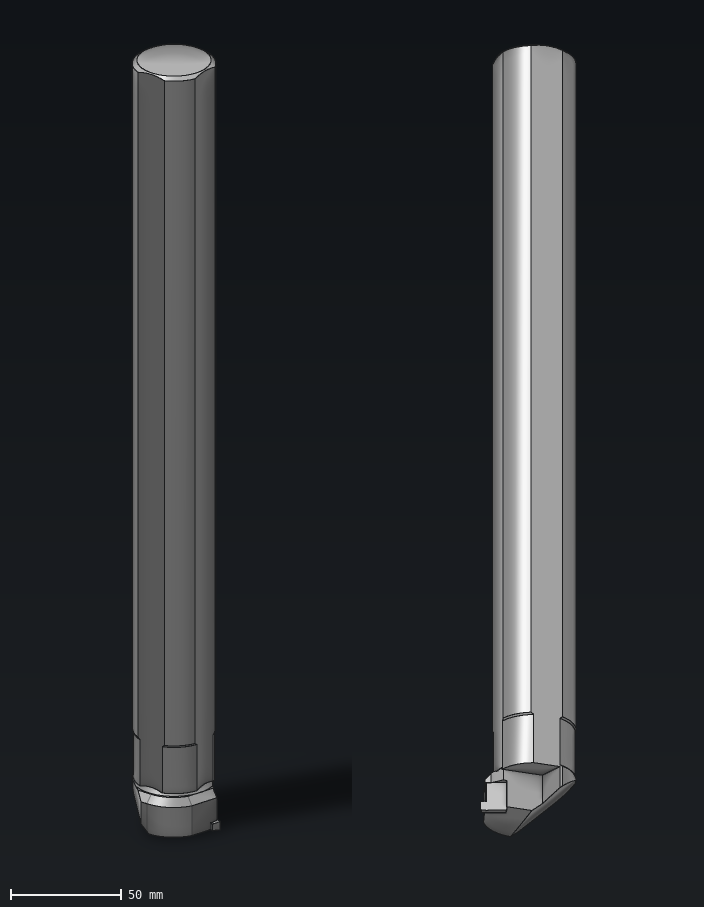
import cadquery as cq
import math

total_length = 381.0
shank_radius = 19.05
flat_distance = 17.5
top_chamfer_width = 2.2
top_chamfer_height = 1.5

neck_radius = 18.6
neck_top = 44.5
neck_step = 1.0

insert_drop = 0.8
head_bottom = insert_drop
head_top = 19.3
lobe_radius = 20.52
lobe_center = (2.0, -3.0)
lobe_corner_x = -1.3
lobe_bevel = 3.4
lobe_bevel_angle = 45.0
facet_start_x = 19.8
facet_end = (23.9, 0.5)
collar_radius = 19.5

underside_angle = 40.0
underside_end_x = 3.2

gullet_floor = 6.2
gullet_wall_top_x = -6.3
gullet_wall_foot_x = -1.8
gullet_floor_end_x = 17.0
nose_start = (21.3, 1.6)

insert_tilt = 20.0
insert_thickness = 4.0
insert_clearance = 7.0
insert_length = 14.0
insert_body_width = 9.4
tip_corner = (25.98, 0.3)
tip_reach = 2.6
tip_width = 4.3
tip_rise = 0.3

reach = 60.0


def cylinder(radius, bottom, top):
    return cq.Workplane("XY").workplane(offset=bottom).circle(radius).extrude(top - bottom)


def cone(bottom_radius, top_radius, bottom, top):
    frustum = cq.Solid.makeCone(bottom_radius, top_radius, top - bottom, cq.Vector(0, 0, bottom))
    return cq.Workplane(obj=frustum)


def flats(bottom, top):
    """Block whose +Y, -Y and +X sides are the flats of the bar."""
    block = cq.Workplane("XY").box(reach, 2 * flat_distance, top - bottom, centered=(False, True, False))
    return block.translate((flat_distance - reach, 0, bottom))


def make_bar():
    top_start = total_length - top_chamfer_height
    bar = cylinder(neck_radius, head_top, neck_top - neck_step)
    bar = bar.union(cone(neck_radius, shank_radius, neck_top - neck_step, neck_top))
    bar = bar.union(cylinder(shank_radius, neck_top, top_start))
    bar = bar.union(cone(shank_radius, shank_radius - top_chamfer_width, top_start, total_length))
    return bar.intersect(flats(head_top, total_length))


def facet_start():
    """Point where the round front of the lobe turns into the right facet."""
    cx, cy = lobe_center
    return (facet_start_x, cy - math.sqrt(lobe_radius**2 - (facet_start_x - cx) ** 2))


def lobe_middle():
    """Point halfway along the round front of the lobe."""
    cx, cy = lobe_center
    start_angle = math.radians(-90)
    end_angle = math.atan2(facet_start()[1] - cy, facet_start()[0] - cx)
    middle = (start_angle + end_angle) / 2
    return (cx + lobe_radius * math.cos(middle), cy + lobe_radius * math.sin(middle))


def head_outline():
    """Outline from the slanted side round the lobe, the nose, the chip gullet and the back of the bar."""
    cx, cy = lobe_center
    lobe_corner = (lobe_corner_x, cy - lobe_radius)

    corner_angle = math.atan2(lobe_corner[1], lobe_corner[0])
    tangent_angle = corner_angle - math.acos(shank_radius / math.hypot(*lobe_corner))
    tangent_point = (shank_radius * math.cos(tangent_angle), shank_radius * math.sin(tangent_angle))
    back_corner = (-math.sqrt(shank_radius**2 - flat_distance**2), flat_distance)
    return (
        cq.Workplane("XY")
        .workplane(offset=head_bottom)
        .moveTo(*tangent_point)
        .lineTo(*lobe_corner)
        .lineTo(cx, lobe_corner[1])
        .threePointArc(lobe_middle(), facet_start())
        .lineTo(*facet_end)
        .lineTo(*nose_start)
        .lineTo(gullet_floor_end_x, gullet_floor)
        .lineTo(gullet_wall_foot_x, gullet_floor)
        .lineTo(gullet_wall_top_x, flat_distance)
        .lineTo(*back_corner)
        .threePointArc((-shank_radius, 0), tangent_point)
        .close()
    )


def front_profile(height):
    """Oversized outline at a given height that follows only the front and the facet of the lobe."""
    cx, cy = lobe_center
    front_y = cy - lobe_radius
    start_x, start_y = facet_start()
    facet_slope = (facet_end[0] - start_x) / (facet_end[1] - start_y)
    far_facet_x = start_x + (reach - start_y) * facet_slope
    return (
        cq.Workplane("XY")
        .workplane(offset=height)
        .moveTo(-reach, front_y)
        .lineTo(cx, front_y)
        .threePointArc(lobe_middle(), facet_start())
        .lineTo(far_facet_x, reach)
        .lineTo(-reach, reach)
        .close()
    )


def beveled_front():
    """Block that bevels the top of the lobe."""
    bevel_start = head_top - lobe_bevel
    lower = front_profile(0).extrude(bevel_start)
    return lower.union(front_profile(bevel_start).extrude(lobe_bevel, taper=lobe_bevel_angle))


def make_head():
    head = head_outline().extrude(head_top - head_bottom).intersect(beveled_front())
    collar_top = head_top + collar_radius - flat_distance
    collar = cone(collar_radius, flat_distance, head_top, collar_top)
    collar = collar.intersect(head_outline().extrude(collar_top - head_bottom))
    return head.union(collar)


def underside_cut():
    rise = reach * math.tan(math.radians(underside_angle))
    return (
        cq.Workplane("XZ")
        .moveTo(underside_end_x, head_bottom)
        .lineTo(underside_end_x - reach, head_bottom + rise)
        .lineTo(underside_end_x - reach, head_bottom)
        .close()
        .extrude(reach / 2, both=True)
    )


def insert_profile():
    """Insert face on its tilted plane; local X runs out to the tip and local Y runs up the bar."""
    tilt = math.radians(insert_tilt)
    plane = cq.Plane(
        origin=(tip_corner[0], tip_corner[1], 0),
        xDir=(math.cos(tilt), -math.sin(tilt), 0),
        normal=(-math.sin(tilt), -math.cos(tilt), 0),
    )
    return (
        cq.Workplane(plane)
        .moveTo(0, tip_rise)
        .lineTo(0, tip_rise + tip_width)
        .lineTo(-tip_reach, tip_rise + tip_width)
        .lineTo(-tip_reach, insert_length)
        .lineTo(-tip_reach - insert_body_width, insert_length)
        .lineTo(-tip_reach - insert_body_width, 0)
        .lineTo(-tip_reach, 0)
        .close()
    )


def make_insert():
    return insert_profile().extrude(insert_thickness, taper=insert_clearance)


insert = make_insert()

recess = insert.union(insert_profile().extrude(-reach / 2))

holder = make_bar().union(make_head())
holder = holder.cut(underside_cut()).cut(recess)

result = cq.Compound.makeCompound([holder.val(), insert.val()])